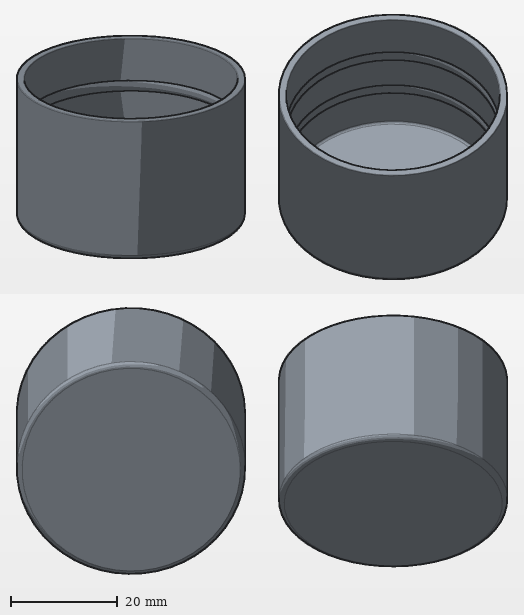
import cadquery as cq

outer_diameter = 42.8
height = 28.05
wall_thickness = 1.4
floor_thickness = 1.0
base_fillet = 1.0
floor_fillet = 0.43
rim_fillet = 0.1

bead_count = 2
bead_width = 2.1
bead_height = 0.2
bead_pitch = 8.7
top_bead_depth = 9.6

outer_radius = outer_diameter / 2
inner_radius = outer_radius - wall_thickness


def make_cup():
    """Open cup with a rounded base, a slightly eased rim and a filleted floor corner."""
    body = cq.Workplane("XY").circle(outer_radius).extrude(height)
    body = body.faces("<Z").edges().fillet(base_fillet)
    cavity_depth = height - floor_thickness
    cavity = cq.Workplane("XY", origin=(0, 0, floor_thickness)).circle(inner_radius).extrude(cavity_depth)
    cavity = cavity.faces("<Z").edges().fillet(floor_fillet)
    return body.cut(cavity).faces(">Z").edges().fillet(rim_fillet)


def make_bead(middle_z):
    """Ring whose inward face is a shallow arc; its back is buried in the wall."""
    half_width = bead_width / 2
    back_radius = inner_radius + wall_thickness / 2
    return (
        cq.Workplane("XZ")
        .moveTo(back_radius, middle_z - half_width)
        .lineTo(inner_radius, middle_z - half_width)
        .threePointArc((inner_radius - bead_height, middle_z), (inner_radius, middle_z + half_width))
        .lineTo(back_radius, middle_z + half_width)
        .close()
        .revolve(360, (0, 0, 0), (0, 1, 0))
    )


result = make_cup()
for bead_index in range(bead_count):
    result = result.union(make_bead(height - top_bead_depth - bead_index * bead_pitch))